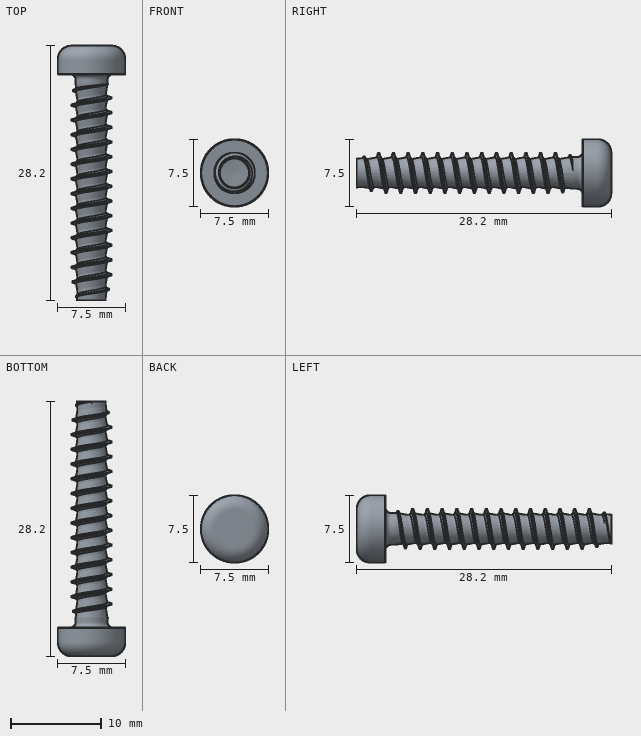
import cadquery as cq
import math


LENGTH = 28.2

HEAD_RADIUS = 3.75
HEAD_HEIGHT = 3.2
DOME_RADIUS = 1.55
RIM_CHAMFER = 0.08

NECK_RADIUS = 1.78
NECK_FILLET = 0.55
NECK_END_DEPTH = 4.28
CORE_RADIUS = 1.593
NECK_TAPER_LENGTH = 1.13
TIP_DIMPLE_DEPTH = 0.1

THREAD_START_DEPTH = 3.35
THREAD_TURNS = 15.25
LEAD_IN_TURNS = 1.5
LEAD_OUT_TURNS = 1.5
THREAD_RADIUS = 2.25
CREST_START_RADIUS = NECK_RADIUS
CREST_END_RADIUS = 1.64
CREST_HALF_WIDTH = 0.03
FLANK_ANGLE = 15.0
HEAD_KNEE_RADIUS = 1.8
TIP_KNEE_RADIUS = 1.75
KNEE_DROP = 0.015
RELIEF_END = 1.18
HEAD_SIDE_FOOT = 0.4
BURIED_RADIUS = 1.55
INNER_RADIUS = 1.4
POINTS_PER_TURN = 16
SECTIONS_PER_TURN = 1

head_bottom = LENGTH - HEAD_HEIGHT
neck_end = LENGTH - NECK_END_DEPTH
thread_start = LENGTH - THREAD_START_DEPTH
pitch = thread_start / THREAD_TURNS


def make_body():
    """Head, neck and core as one turned solid."""
    diagonal = math.sqrt(0.5)
    dome_mid = (
        HEAD_RADIUS - DOME_RADIUS * (1 - diagonal),
        LENGTH - DOME_RADIUS * (1 - diagonal),
    )
    fillet_mid = (
        NECK_RADIUS + NECK_FILLET * (1 - diagonal),
        head_bottom - NECK_FILLET * (1 - diagonal),
    )
    return (
        cq.Workplane("XY")
        .lineTo(CORE_RADIUS, 0)
        .lineTo(CORE_RADIUS, neck_end - NECK_TAPER_LENGTH)
        .lineTo(NECK_RADIUS, neck_end)
        .lineTo(NECK_RADIUS, head_bottom - NECK_FILLET)
        .threePointArc(fillet_mid, (NECK_RADIUS + NECK_FILLET, head_bottom))
        .lineTo(HEAD_RADIUS - RIM_CHAMFER, head_bottom)
        .lineTo(HEAD_RADIUS, head_bottom + RIM_CHAMFER)
        .lineTo(HEAD_RADIUS, LENGTH - DOME_RADIUS)
        .threePointArc(dome_mid, (HEAD_RADIUS - DOME_RADIUS, LENGTH))
        .lineTo(0, LENGTH)
        .close()
        .revolve(360, (0, 0, 0), (0, 1, 0))
    )


def flank_knee(crest_radius, full_radius):
    """Distance from the crest and radius at the bottom of a steep flank."""
    radius = min(full_radius, crest_radius - KNEE_DROP)
    flank_run = (crest_radius - radius) * math.tan(math.radians(FLANK_ANGLE))
    return CREST_HALF_WIDTH + flank_run, radius


def ridge_profile(crest_radius):
    """Corners of the ridge section as (distance from crest toward the tip, radius)."""
    head_offset, head_radius = flank_knee(crest_radius, HEAD_KNEE_RADIUS)
    tip_offset, tip_radius = flank_knee(crest_radius, TIP_KNEE_RADIUS)
    return [
        (-HEAD_SIDE_FOOT, INNER_RADIUS),
        (-HEAD_SIDE_FOOT, BURIED_RADIUS),
        (-head_offset, head_radius),
        (-CREST_HALF_WIDTH, crest_radius),
        (CREST_HALF_WIDTH, crest_radius),
        (tip_offset, tip_radius),
        (RELIEF_END, BURIED_RADIUS),
        (RELIEF_END, INNER_RADIUS),
    ]


def helix_point(turn, offset, radius):
    angle = 2 * math.pi * turn
    y = thread_start - pitch * turn - offset
    return cq.Vector(-radius * math.cos(angle), y, -radius * math.sin(angle))


def helix_edge(first_turn, last_turn, first_corner, last_corner):
    """Helix traced by a corner that moves evenly from its first to its last place."""
    steps = round((last_turn - first_turn) * POINTS_PER_TURN)
    first_offset, first_radius = first_corner
    last_offset, last_radius = last_corner
    points = []
    for step in range(steps + 1):
        share = step / steps
        turn = first_turn + (last_turn - first_turn) * share
        offset = first_offset + (last_offset - first_offset) * share
        radius = first_radius + (last_radius - first_radius) * share
        points.append(helix_point(turn, offset, radius))
    return cq.Edge.makeSpline(points)


def end_cap(turn, profile):
    corners = [helix_point(turn, *corner) for corner in profile]
    return cq.Face.makeFromWires(cq.Wire.makePolygon(corners, close=True))


def make_ridge():
    """Helical ridge with a rising lead-in and a falling lead-out."""
    full = ridge_profile(THREAD_RADIUS)
    full_turns = THREAD_TURNS - LEAD_IN_TURNS - LEAD_OUT_TURNS
    sections = round(full_turns * SECTIONS_PER_TURN)
    stations = [(0, ridge_profile(CREST_START_RADIUS))]
    for section in range(sections + 1):
        stations.append((LEAD_IN_TURNS + full_turns * section / sections, full))
    stations.append((THREAD_TURNS, ridge_profile(CREST_END_RADIUS)))
    faces = [end_cap(*stations[0]), end_cap(*stations[-1])]
    for (turn_a, profile_a), (turn_b, profile_b) in zip(stations, stations[1:]):
        edges = [
            helix_edge(turn_a, turn_b, corner_a, corner_b)
            for corner_a, corner_b in zip(profile_a, profile_b)
        ]
        for edge, next_edge in zip(edges, edges[1:] + edges[:1]):
            faces.append(cq.Face.makeRuledSurface(edge, next_edge))
    return cq.Workplane(cq.Solid.makeSolid(cq.Shell.makeShell(faces)))


def make_thread():
    """The ridge, trimmed square at the neck end and at the tip."""
    threaded_zone = (
        cq.Workplane("XZ")
        .circle(2 * THREAD_RADIUS)
        .extrude(-neck_end)
    )
    return make_ridge().intersect(threaded_zone)


def make_tip_dimple():
    """Shallow cone that hollows the tip."""
    return (
        cq.Workplane("XY")
        .lineTo(CORE_RADIUS, 0)
        .lineTo(0, TIP_DIMPLE_DEPTH)
        .close()
        .revolve(360, (0, 0, 0), (0, 1, 0))
    )


result = make_body().union(make_thread()).cut(make_tip_dimple()).solids()